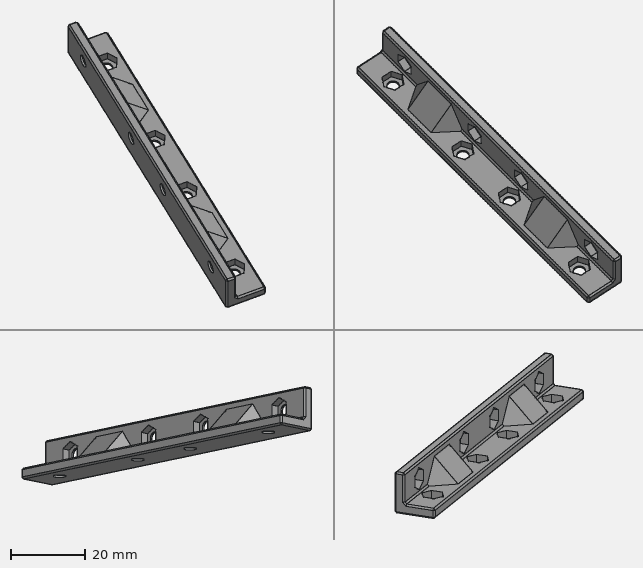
import cadquery as cq

length = 99.8
leg = 11.9
thickness = 3.0
edge_chamfer = 0.5

inner_hole_spacing = 20.0
outer_hole_spacing = 80.0
hole_diameter = 3.4
hole_offset = 7.0
nut_across_flats = 5.5
nut_pocket_depth = 2.4

gusset_spacing = 49.9
gusset_width = 10.0
gusset_reach = 7.0
gusset_flare = 5.0

front = -leg / 2
bottom = -leg / 2
inner_y = front + thickness
inner_z = bottom + thickness
hole_xs = [side * spacing / 2 for spacing in (inner_hole_spacing, outer_hole_spacing) for side in (-1, 1)]
gusset_xs = [side * gusset_spacing / 2 for side in (-1, 1)]


def angle_bar():
    """L-shaped bar along X, with a chamfer on every edge including the inner corner."""
    profile = [
        (front, bottom),
        (front + leg, bottom),
        (front + leg, inner_z),
        (inner_y, inner_z),
        (inner_y, bottom + leg),
        (front, bottom + leg),
    ]
    bar = cq.Workplane("YZ").polyline(profile).close().extrude(length / 2, both=True)
    return bar.edges().chamfer(edge_chamfer)


def gusset(center_x):
    """Solid corner brace: a sloping middle face with a slanted flank on each side."""
    half_width = gusset_width / 2
    half_base = half_width + gusset_flare
    tip_y = inner_y + gusset_reach
    top_z = inner_z + gusset_reach

    left_foot = cq.Vector(center_x - half_base, inner_y, inner_z)
    left_tip = cq.Vector(center_x - half_width, tip_y, inner_z)
    left_top = cq.Vector(center_x - half_width, inner_y, top_z)
    right_foot = cq.Vector(center_x + half_base, inner_y, inner_z)
    right_tip = cq.Vector(center_x + half_width, tip_y, inner_z)
    right_top = cq.Vector(center_x + half_width, inner_y, top_z)

    outlines = [
        [left_foot, left_tip, right_tip, right_foot],
        [left_foot, left_top, right_top, right_foot],
        [left_tip, left_top, right_top, right_tip],
        [left_foot, left_tip, left_top],
        [right_foot, right_tip, right_top],
    ]
    faces = [cq.Face.makeFromWires(cq.Wire.makePolygon(outline, close=True)) for outline in outlines]
    return cq.Workplane(cq.Solid.makeSolid(cq.Shell.makeShell(faces)))


def nut_holes(x_direction, inward):
    """Cutter for one flange: screw holes from its outer face, nut pockets in its inner face."""
    outer_face = cq.Plane(origin=(0, front, bottom), xDir=x_direction, normal=inward)
    centers = [(x, hole_offset) for x in hole_xs]
    holes = cq.Workplane(outer_face).pushPoints(centers).circle(hole_diameter / 2).extrude(thickness)
    pockets = (
        cq.Workplane(outer_face)
        .workplane(offset=thickness - nut_pocket_depth)
        .pushPoints(centers)
        .polygon(6, nut_across_flats, circumscribed=True)
        .extrude(nut_pocket_depth)
    )
    return holes.union(pockets)


result = angle_bar()
for gusset_x in gusset_xs:
    result = result.union(gusset(gusset_x))
result = result.cut(nut_holes(x_direction=(1, 0, 0), inward=(0, 0, 1)))
result = result.cut(nut_holes(x_direction=(-1, 0, 0), inward=(0, 1, 0)))